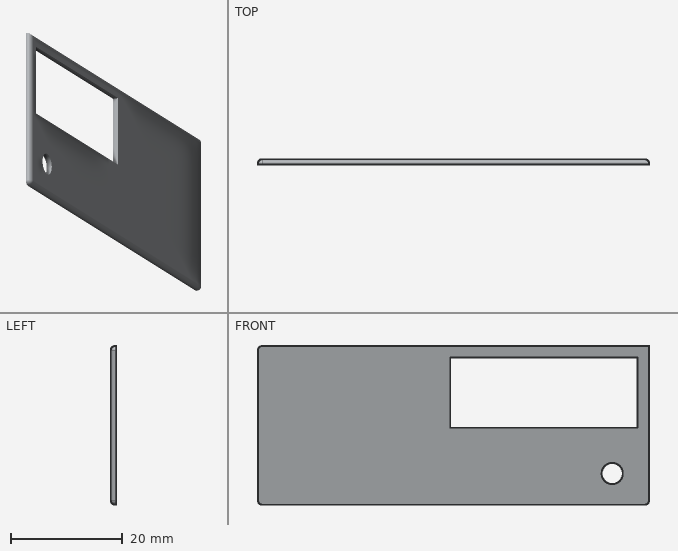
import cadquery as cq

length = 69.9
height = 28.4
thickness = 1.0
corner_radius = 0.8
back_edge_radius = corner_radius

window_length = 33.4
window_height = 12.5
window_right_margin = 2.1
window_top_margin = 2.1

hole_diameter = 3.75
hole_right_offset = 6.6
hole_bottom_offset = 5.6


def through_cutter(profile):
    """Extrude a profile drawn on the front face through the plate thickness."""
    return profile.extrude(-thickness)


def make_plate():
    """Plate with three rounded corners, a sharp top right corner and a rounded back rim."""
    plate = cq.Workplane("XY").box(length, thickness, height, centered=False)
    plate = plate.edges("|Y and (<X or <Z)").fillet(corner_radius)
    return plate.faces(">Y").edges().fillet(back_edge_radius)


def make_window():
    center_x = length - window_right_margin - window_length / 2
    center_z = height - window_top_margin - window_height / 2
    profile = cq.Workplane("XZ").center(center_x, center_z).rect(window_length, window_height)
    return through_cutter(profile)


def make_hole():
    center_x = length - hole_right_offset
    profile = cq.Workplane("XZ").center(center_x, hole_bottom_offset).circle(hole_diameter / 2)
    return through_cutter(profile)


result = make_plate().cut(make_window()).cut(make_hole())